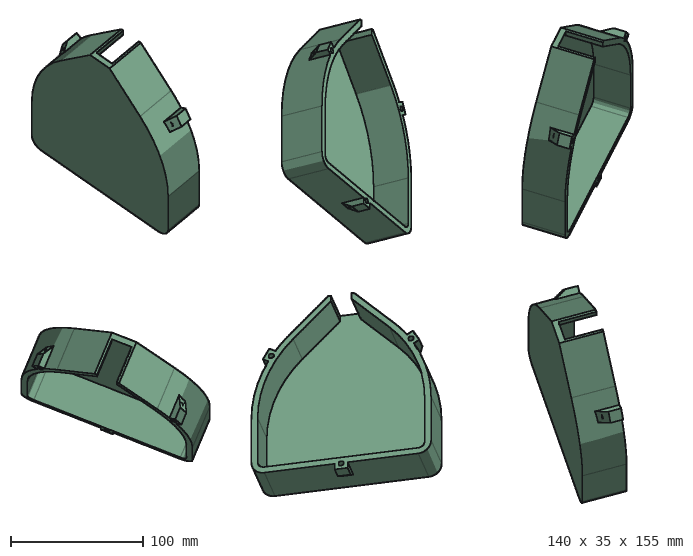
import cadquery as cq
import math

width = 140.0
depth = 35.0
total_height = 155.0
wall = 5.0
clip_height = 5.0
body_height = total_height - clip_height

top_width = 20.0
corner_radius = 10.0
shoulder_radius = 99.0
slope_angle = 45.0

notch_width = 16.0

clip_width = 10.0
clip_flat = 10.0
ramp_angle = 30.0
clip_root = 2.5
hole_diameter = 4.0
hole_depth = 15.0
hole_offset = 4.6
side_clip_x = 58.5
side_clip_z = 32.9
side_clip_tilt = 30.0

z_top = total_height / 2
z_bottom = z_top - body_height
y_back = depth / 2


def body_face(inset):
    """Closed body outline on the back plane, moved inward by inset."""
    angle = math.radians(slope_angle)
    half_width = width / 2 - inset
    radius = shoulder_radius - inset
    floor = z_bottom + inset
    roof = z_top - inset
    corner = corner_radius - inset

    centre_x = width / 2 - shoulder_radius
    reach = top_width / 2 * math.cos(angle) + z_top * math.sin(angle)
    centre_z = (reach - shoulder_radius - centre_x * math.cos(angle)) / math.sin(angle)

    def on_shoulder(turn):
        return (centre_x + radius * math.cos(turn), centre_z + radius * math.sin(turn))

    end_x, end_z = on_shoulder(angle)
    half_top = end_x - (roof - end_z) * math.tan(angle)
    middle_x, middle_z = on_shoulder(angle / 2)
    arc_inset = corner * (1 - math.cos(math.pi / 4))
    return (
        cq.Workplane("XZ", origin=(0, y_back, 0))
        .moveTo(-half_width + corner, floor)
        .lineTo(half_width - corner, floor)
        .threePointArc((half_width - arc_inset, floor + arc_inset), (half_width, floor + corner))
        .lineTo(half_width, centre_z)
        .threePointArc((middle_x, middle_z), (end_x, end_z))
        .lineTo(half_top, roof)
        .lineTo(-half_top, roof)
        .lineTo(-end_x, end_z)
        .threePointArc((-middle_x, middle_z), (-half_width, centre_z))
        .lineTo(-half_width, floor + corner)
        .threePointArc((-half_width + arc_inset, floor + arc_inset), (-half_width + corner, floor))
        .close()
    )


def place(solid, x, z, direction):
    """Turn a solid from +X to the given direction and move it to x, z."""
    return solid.rotate((0, 0, 0), (0, 1, 0), -direction).translate((x, 0, z))


def clip(x, z, direction):
    """Clip with its outer face centred at x, z; direction is degrees from +X towards +Z."""
    root = -clip_height - clip_root
    ramp_length = -root / math.tan(math.radians(ramp_angle))
    solid = (
        cq.Workplane("XY")
        .moveTo(root, y_back)
        .lineTo(0, y_back)
        .lineTo(0, y_back - clip_flat)
        .lineTo(root, y_back - clip_flat - ramp_length)
        .close()
        .extrude(clip_width / 2, both=True)
    )
    return place(solid, x, z, direction)


def clip_hole(x, z, direction):
    """Blind hole along Y for the clip placed with the same arguments."""
    solid = (
        cq.Workplane("XZ", origin=(0, y_back, 0))
        .center(-hole_offset, 0)
        .circle(hole_diameter / 2)
        .extrude(hole_depth)
    )
    return place(solid, x, z, direction)


cavity_depth = depth - wall
result = body_face(0).extrude(depth).cut(body_face(wall).extrude(cavity_depth))

notch_height = 2 * wall
notch = cq.Workplane("XY").box(notch_width, cavity_depth, notch_height)
result = result.cut(notch.translate((0, y_back - cavity_depth / 2, z_top - notch_height / 2)))

clip_places = [
    (0, -total_height / 2, -90),
    (side_clip_x, side_clip_z, side_clip_tilt),
    (-side_clip_x, side_clip_z, 180 - side_clip_tilt),
]
for spot in clip_places:
    result = result.union(clip(*spot)).cut(clip_hole(*spot))